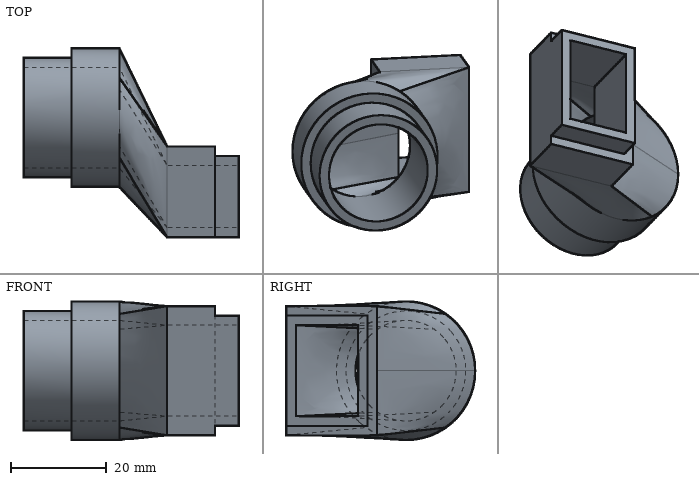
import cadquery as cq

SPIGOT_DIAMETER = 25.0
COLLAR_DIAMETER = 29.0
BORE_DIAMETER = 21.0

SPIGOT_LENGTH = 10.0
COLLAR_LENGTH = 10.0
TRANSITION_LENGTH = 10.0
BLOCK_LENGTH = 10.0
TONGUE_LENGTH = 5.0

TOTAL_DEPTH = 39.5
BLOCK_DEPTH = 19.0
BLOCK_HEIGHT = 27.0
STEP = 2.0
WALL = 2.0

COLLAR_START = SPIGOT_LENGTH
TRANSITION_START = COLLAR_START + COLLAR_LENGTH
BLOCK_START = TRANSITION_START + TRANSITION_LENGTH
TONGUE_START = BLOCK_START + BLOCK_LENGTH

FLUSH_Y = COLLAR_DIAMETER / 2 - TOTAL_DEPTH
TONGUE_DEPTH = BLOCK_DEPTH - STEP
TONGUE_HEIGHT = BLOCK_HEIGHT - 2 * STEP
DUCT_DEPTH = TONGUE_DEPTH - 2 * WALL
DUCT_HEIGHT = TONGUE_HEIGHT - 2 * WALL
DUCT_Y = FLUSH_Y + WALL


def cylinder(x_start, length, diameter):
    """Cylinder along X, centred on the X axis."""
    return cq.Workplane("YZ", origin=(x_start, 0, 0)).circle(diameter / 2).extrude(length)


def rectangular_bar(x_start, length, y_min, depth, height):
    """Bar along X whose lowest Y is y_min, centred on Z = 0."""
    centre = (x_start, y_min + depth / 2, 0)
    return cq.Workplane("YZ", origin=centre).rect(depth, height).extrude(length)


def transition(diameter, y_min, depth, height):
    """Loft from a circle on the X axis to an offset rectangle."""
    return (
        cq.Workplane("YZ", origin=(TRANSITION_START, 0, 0))
        .circle(diameter / 2)
        .workplane(offset=TRANSITION_LENGTH)
        .center(y_min + depth / 2, 0)
        .rect(depth, height)
        .loft(combine=True)
    )


def outer_body():
    """Solid outside shape of the adapter."""
    spigot = cylinder(0, SPIGOT_LENGTH, SPIGOT_DIAMETER)
    collar = cylinder(COLLAR_START, COLLAR_LENGTH, COLLAR_DIAMETER)
    neck = transition(COLLAR_DIAMETER, FLUSH_Y, BLOCK_DEPTH, BLOCK_HEIGHT)
    block = rectangular_bar(BLOCK_START, BLOCK_LENGTH, FLUSH_Y, BLOCK_DEPTH, BLOCK_HEIGHT)
    tongue = rectangular_bar(TONGUE_START, TONGUE_LENGTH, FLUSH_Y, TONGUE_DEPTH, TONGUE_HEIGHT)
    return spigot.union(collar).union(neck).union(block).union(tongue)


def passage():
    """Open passage: round bore, transition, then rectangular duct."""
    bore = cylinder(0, TRANSITION_START, BORE_DIAMETER)
    neck = transition(BORE_DIAMETER, DUCT_Y, DUCT_DEPTH, DUCT_HEIGHT)
    duct_length = BLOCK_LENGTH + TONGUE_LENGTH
    duct = rectangular_bar(BLOCK_START, duct_length, DUCT_Y, DUCT_DEPTH, DUCT_HEIGHT)
    return bore.union(neck).union(duct)


result = outer_body().cut(passage())